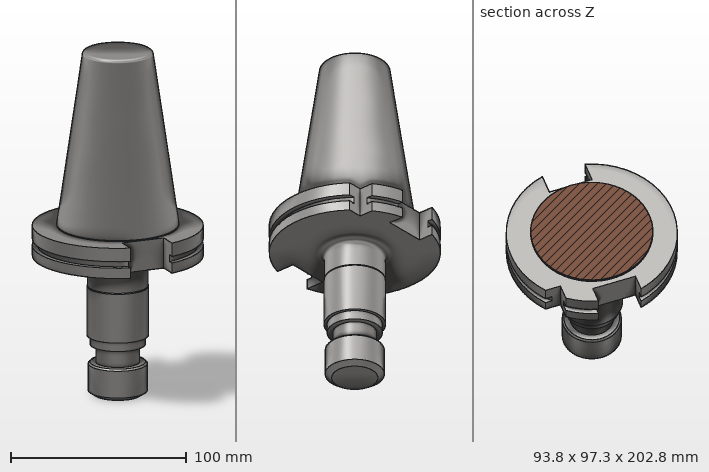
import cadquery as cq

total_height = 202.8
nut_top = 19.3
neck_top = 29.6
collar_top = 35.0
body_step = 63.9
flange_bottom = 82.1
flange_top = 100.0
taper_start = 100.5

nut_radius = 33.7 / 2
neck_radius = 25.0 / 2
collar_radius = 31.5 / 2
body_radius = 35.0 / 2
upper_body_radius = 34.7 / 2
flange_radius = 97.3 / 2
relief_radius = 69.4 / 2
taper_base_radius = 69.8 / 2

taper_slope = 7 / 48
taper_end_radius = taper_base_radius - taper_slope * (total_height - taper_start)
taper_end_fillet = 2.0

nut_tip_inset = 3.7
nut_tip_height = 2.5
nut_top_chamfer = 1.0
flange_fillet = 4.9

step_chamfer_height = 0.6

groove_bottom = 88.2
groove_top = 92.0
groove_radius = 45.6

slot_width = 25.8
left_slot_floor = 37.5
right_slot_floor = 35.3
notch_inner = 29.6


def turned_body():
    """Revolve the full stepped profile about Z."""
    profile = (
        cq.Workplane("XZ")
        .moveTo(0, 0)
        .lineTo(nut_radius - nut_tip_inset, 0)
        .lineTo(nut_radius, nut_tip_height)
        .lineTo(nut_radius, nut_top - nut_top_chamfer)
        .lineTo(nut_radius - nut_top_chamfer, nut_top)
        .lineTo(neck_radius, nut_top)
        .lineTo(neck_radius, neck_top)
        .lineTo(collar_radius, neck_top)
        .lineTo(collar_radius, collar_top)
        .lineTo(body_radius, collar_top)
        .lineTo(body_radius, body_step)
        .lineTo(upper_body_radius, body_step + step_chamfer_height)
        .lineTo(upper_body_radius, flange_bottom - flange_fillet)
        .radiusArc((upper_body_radius + flange_fillet, flange_bottom), flange_fillet)
        .lineTo(flange_radius, flange_bottom)
        .lineTo(flange_radius, groove_bottom)
        .lineTo(groove_radius, groove_bottom)
        .lineTo(groove_radius, groove_top)
        .lineTo(flange_radius, groove_top)
        .lineTo(flange_radius, flange_top)
        .lineTo(relief_radius, flange_top)
        .lineTo(relief_radius, taper_start)
        .lineTo(taper_base_radius, taper_start)
        .lineTo(taper_end_radius, total_height)
        .lineTo(0, total_height)
        .close()
    )
    body = profile.revolve(360, (0, 0, 0), (0, 1, 0))
    return body.faces(">Z").edges().fillet(taper_end_fillet)


def flange_cutter(x_min, x_max, y_min, y_max):
    """Box through the flange thickness between the given X and Y limits."""
    return (
        cq.Workplane("XY")
        .box(x_max - x_min, y_max - y_min, flange_top - flange_bottom, centered=False)
        .translate((x_min, y_min, flange_bottom))
    )


half_slot = slot_width / 2
left_slot = flange_cutter(-flange_radius, -left_slot_floor, -half_slot, half_slot)
right_slot = flange_cutter(right_slot_floor, flange_radius, -half_slot, half_slot)
notch = flange_cutter(-flange_radius, -notch_inner, notch_inner, flange_radius)

result = turned_body().cut(left_slot).cut(right_slot).cut(notch)